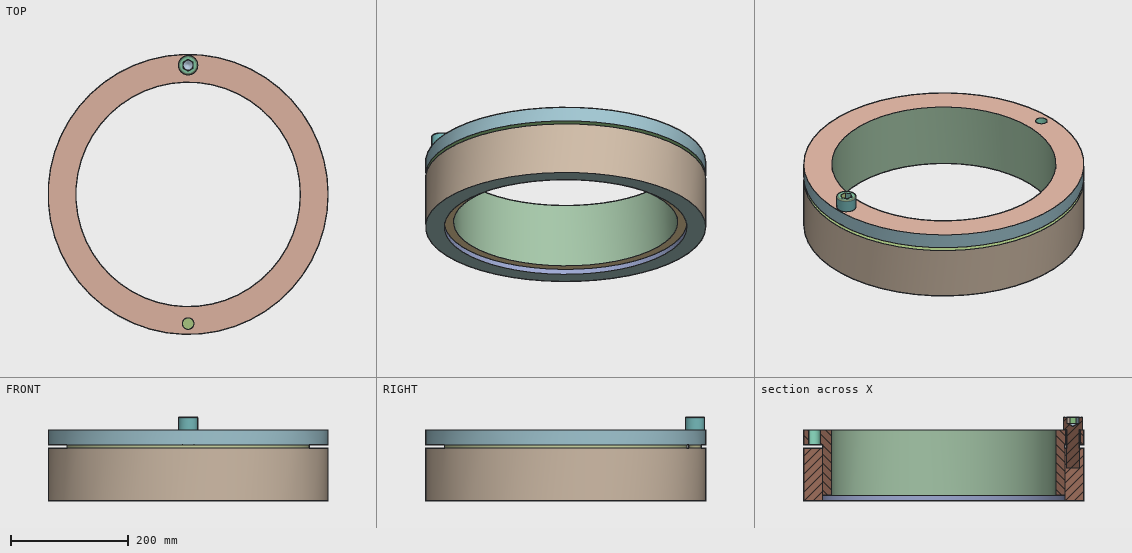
import cadquery as cq
import math

OUTER_DIA = 475.0
BORE_DIA = 380.0
BASE_HEIGHT = 89.5
COVER_THICKNESS = 25.0
GAP = 5.5
SPIGOT_DIA = 411.5
SPIGOT_BOTTOM = 9.0
TOTAL_HEIGHT = 142.0

BOLT_RADIUS = 219.0
SHANK_DIA = 22.0
CLEARANCE_DIA = 24.0
JACKING_DIA = 19.5
HEAD_DIA = 33.0
HEAD_FILLET = 2.0
THREAD_DEPTH = 33.2
SOCKET_ACROSS_FLATS = 17.0
SOCKET_DEPTH = 11.0
SOCKET_CONE_ANGLE = 120.0

COVER_BOTTOM = BASE_HEIGHT + GAP
COVER_TOP = COVER_BOTTOM + COVER_THICKNESS
SCREW_BOTTOM = BASE_HEIGHT - THREAD_DEPTH


def cylinder(diameter, bottom, top, y=0.0):
    """Upright cylinder on the YZ plane of symmetry."""
    return cq.Workplane("XY", origin=(0, y, bottom)).circle(diameter / 2).extrude(top - bottom)


def ring(outer_dia, inner_dia, bottom, top):
    return cylinder(outer_dia, bottom, top).cut(cylinder(inner_dia, bottom, top))


def make_base():
    """Lower ring that receives the cover sleeve, with a blind hole for the screw."""
    return ring(OUTER_DIA, SPIGOT_DIA, 0, BASE_HEIGHT).cut(
        cylinder(SHANK_DIA, SCREW_BOTTOM, BASE_HEIGHT, BOLT_RADIUS)
    )


def make_cover():
    """Flange with a sleeve below it, a screw clearance hole and an opposite jacking hole."""
    cover = ring(OUTER_DIA, BORE_DIA, COVER_BOTTOM, COVER_TOP)
    cover = cover.union(ring(SPIGOT_DIA, BORE_DIA, SPIGOT_BOTTOM, COVER_BOTTOM))
    cover = cover.cut(cylinder(CLEARANCE_DIA, COVER_BOTTOM, COVER_TOP, BOLT_RADIUS))
    return cover.cut(cylinder(JACKING_DIA, COVER_BOTTOM, COVER_TOP, -BOLT_RADIUS))


def make_socket():
    """Hexagonal socket with corners along Y and a conical floor."""
    across_corners = SOCKET_ACROSS_FLATS / math.cos(math.radians(30))
    hexagon = (
        cq.Workplane("XY", origin=(0, BOLT_RADIUS, TOTAL_HEIGHT))
        .transformed(rotate=(0, 0, 90))
        .polygon(6, across_corners)
        .extrude(-SOCKET_DEPTH)
    )
    cone_radius = SOCKET_ACROSS_FLATS / 2
    cone_height = cone_radius / math.tan(math.radians(SOCKET_CONE_ANGLE / 2))
    cone = cq.Solid.makeCone(
        cone_radius,
        0,
        cone_height,
        pnt=cq.Vector(0, BOLT_RADIUS, TOTAL_HEIGHT - SOCKET_DEPTH),
        dir=cq.Vector(0, 0, -1),
    )
    return hexagon.union(cq.Workplane(cone))


def make_screw():
    """Socket-head screw seated on the cover."""
    head = cylinder(HEAD_DIA, COVER_TOP, TOTAL_HEIGHT, BOLT_RADIUS)
    head = head.faces(">Z").edges().fillet(HEAD_FILLET)
    shank = cylinder(SHANK_DIA, SCREW_BOTTOM, COVER_TOP, BOLT_RADIUS)
    return head.union(shank).cut(make_socket())


base = make_base()
cover = make_cover()
screw = make_screw()

result = cq.Compound.makeCompound([base.val(), cover.val(), screw.val()])